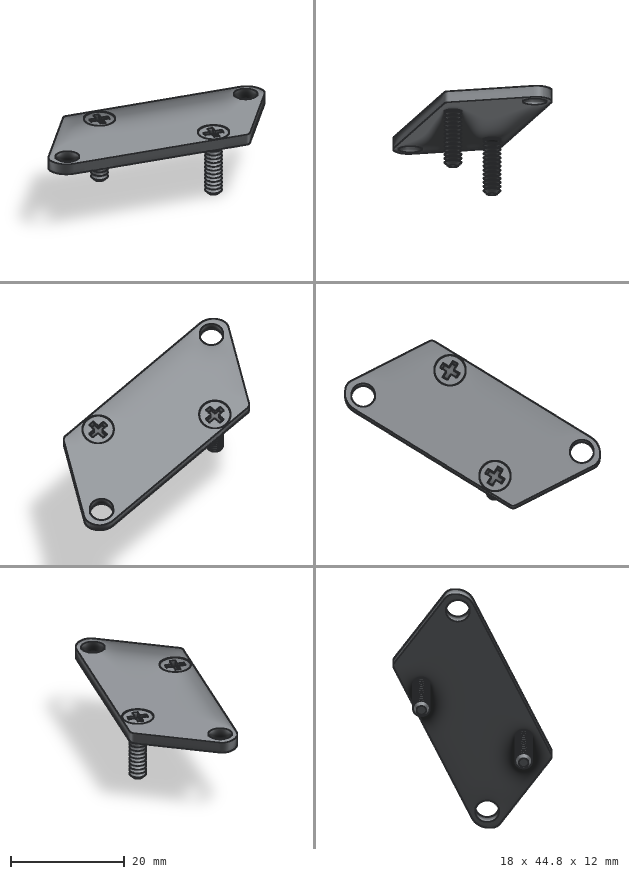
import cadquery as cq
import math

plate_length = 44.85
plate_width = 18.0
plate_thickness = 2.0
end_slope = 30.0
blunt_radius = 1.0
side_arc_radius = 3.5
tip_arc_radius = 2.0
tip_arc_turn = 17.0
mount_hole_diameter = 4.2
hole_edge_distance = 3.0

screw_y = 8.5
countersink_diameter = 5.6
head_sink = 0.1
thread_diameter = 3.0
root_diameter = 1.7
overall_height = 12.0
crest_count = 13
cross_span = 3.5
cross_floor_span = 2.85
cross_width = 1.0
cross_depth = 1.0

half_length = plate_length / 2
half_width = plate_width / 2
hole_x = half_width - hole_edge_distance
thread_radius = thread_diameter / 2
root_radius = root_diameter / 2
countersink_radius = countersink_diameter / 2
cone_bottom_z = plate_thickness - (countersink_radius - thread_radius)
head_top_z = plate_thickness - head_sink
head_radius = countersink_radius - head_sink
thread_length = overall_height - plate_thickness
tip_chamfer = thread_radius - root_radius
thread_pitch = (thread_length - tip_chamfer) / (crest_count - 0.5)

arc_offset = side_arc_radius - tip_arc_radius
turn = math.radians(tip_arc_turn)
slope = math.radians(end_slope)
side_arc_x = half_width - side_arc_radius
side_arc_y = -half_length + tip_arc_radius + arc_offset * math.cos(turn)
tip_arc_x = side_arc_x + arc_offset * math.sin(turn)
tip_arc_y = -half_length + tip_arc_radius
hole_y = side_arc_y


def on_circle(center_x, center_y, radius, angle):
    """Point on a circle, with the angle in radians turned from -Y toward +X."""
    return (center_x + radius * math.sin(angle), center_y - radius * math.cos(angle))


def half_turn(point):
    return (-point[0], -point[1])


slant_end = on_circle(tip_arc_x, tip_arc_y, tip_arc_radius, -slope)
blunt_corner = (-half_width, slant_end[1] + (slant_end[0] + half_width) * math.tan(slope))


def plate_outline():
    tip_middle = on_circle(tip_arc_x, tip_arc_y, tip_arc_radius, (turn - slope) / 2)
    arcs_meet = on_circle(side_arc_x, side_arc_y, side_arc_radius, turn)
    side_middle = on_circle(side_arc_x, side_arc_y, side_arc_radius, (turn + math.pi / 2) / 2)
    side_start = (half_width, side_arc_y)
    return (
        cq.Workplane("XY")
        .moveTo(*blunt_corner)
        .lineTo(*slant_end)
        .threePointArc(tip_middle, arcs_meet)
        .threePointArc(side_middle, side_start)
        .lineTo(*half_turn(blunt_corner))
        .lineTo(*half_turn(slant_end))
        .threePointArc(half_turn(tip_middle), half_turn(arcs_meet))
        .threePointArc(half_turn(side_middle), half_turn(side_start))
        .close()
    )


def countersunk_hole():
    """Cutter on the Z axis: a straight hole opening into a cone at the plate top."""
    return (
        cq.Workplane("XZ")
        .polyline([
            (0, 0),
            (thread_radius, 0),
            (thread_radius, cone_bottom_z),
            (countersink_radius, plate_thickness),
            (0, plate_thickness),
        ])
        .close()
        .revolve(360, (0, 0, 0), (0, 1, 0))
    )


def make_plate(screw_places):
    plate = plate_outline().extrude(plate_thickness)
    for corner in (blunt_corner, half_turn(blunt_corner)):
        nearest = cq.selectors.NearestToPointSelector((*corner, plate_thickness / 2))
        plate = plate.edges("|Z").edges(nearest).fillet(blunt_radius)
    mount_holes = (
        cq.Workplane("XY")
        .pushPoints([(hole_x, hole_y), (-hole_x, -hole_y)])
        .circle(mount_hole_diameter / 2)
        .extrude(plate_thickness)
    )
    plate = plate.cut(mount_holes)
    for x, y in screw_places:
        plate = plate.cut(countersunk_hole().translate((x, y, 0)))
    return plate


def cross_recess():
    """Cutter on the Z axis: two crossed slots whose ends slope in toward the floor."""
    profile = [
        (-cross_span / 2, head_top_z),
        (cross_span / 2, head_top_z),
        (cross_floor_span / 2, head_top_z - cross_depth),
        (-cross_floor_span / 2, head_top_z - cross_depth),
    ]
    slot = cq.Workplane("XZ").polyline(profile).close().extrude(cross_width / 2, both=True)
    return slot.union(slot.rotate((0, 0, 0), (0, 0, 1), 90))


def make_screw():
    """Countersunk screw on the Z axis, its thread made of equal ring-shaped ridges."""
    profile = [
        (0, head_top_z),
        (head_radius, head_top_z),
        (thread_radius, cone_bottom_z),
        (thread_radius, 0),
    ]
    for crest in range(crest_count):
        root_z = -crest * thread_pitch
        profile.append((root_radius, root_z))
        profile.append((thread_radius, root_z - thread_pitch / 2))
    profile += [(root_radius, -thread_length), (0, -thread_length)]
    body = cq.Workplane("XZ").polyline(profile).close().revolve(360, (0, 0, 0), (0, 1, 0))
    return body.cut(cross_recess())


screw_places = [(hole_x, screw_y), (-hole_x, -screw_y)]
plate = make_plate(screw_places)
screws = [make_screw().translate((x, y, 0)) for x, y in screw_places]

result = cq.Compound.makeCompound([plate.val(), *[screw.val() for screw in screws]])